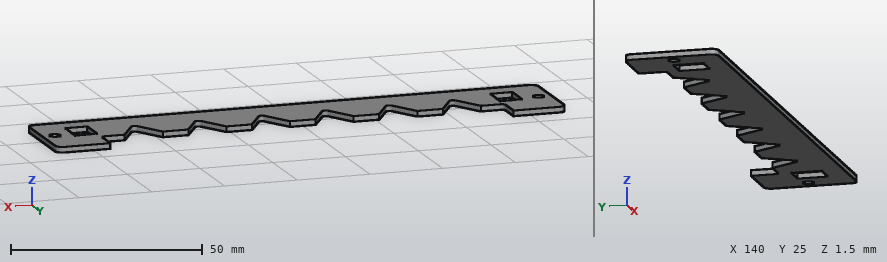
import cadquery as cq
import math

length = 140.0
width = 25.0
thickness = 1.5
corner_radius = 2.0

tab_length = 14.5
edge_drop = 7.5
tab_root_radius = 1.0

notch_count = 6
notch_pitch = 17.5
notch_mouth = 10.5
notch_angle = 60.0
notch_root_radius = 1.0

hole_diameter = 3.0
hole_inset = 3.5
window_length = 6.0
window_width = 8.1
window_offset_y = -2.5

edge_y = width / 2 - edge_drop
notch_depth = notch_mouth / 2 / math.tan(math.radians(notch_angle / 2))
hole_x = length / 2 - hole_inset
window_x = length / 2 - tab_length + window_length / 2


def make_plate():
    """Rounded plate with the long edge lowered between the end tabs."""
    plate = cq.Workplane("XY").box(length, width, thickness)
    plate = plate.edges("|Z").fillet(corner_radius)
    recess = (
        cq.Workplane("XY")
        .center(0, edge_y + edge_drop / 2)
        .rect(length - 2 * tab_length, edge_drop)
        .extrude(thickness, both=True)
        .edges("|Z and <Y")
        .fillet(tab_root_radius)
    )
    return plate.cut(recess)


def make_notch(x):
    """V-shaped cutter with a rounded root, opening at the lowered edge."""
    return (
        cq.Workplane("XY")
        .moveTo(x - notch_mouth / 2, edge_y)
        .lineTo(x + notch_mouth / 2, edge_y)
        .lineTo(x, edge_y - notch_depth)
        .close()
        .extrude(thickness, both=True)
        .edges("|Z and <Y")
        .fillet(notch_root_radius)
    )


result = make_plate()

for index in range(notch_count):
    notch_x = (index - (notch_count - 1) / 2) * notch_pitch
    result = result.cut(make_notch(notch_x))

holes = (
    cq.Workplane("XY")
    .pushPoints([(-hole_x, 0), (hole_x, 0)])
    .circle(hole_diameter / 2)
    .extrude(thickness, both=True)
)
windows = (
    cq.Workplane("XY")
    .pushPoints([(-window_x, window_offset_y), (window_x, window_offset_y)])
    .rect(window_length, window_width)
    .extrude(thickness, both=True)
)
result = result.cut(holes).cut(windows)